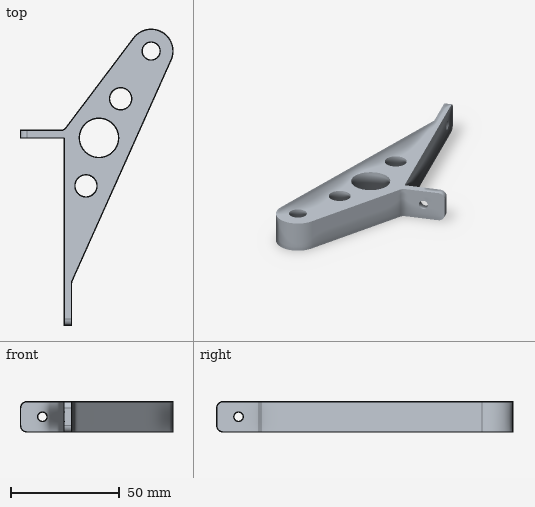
import cadquery as cq
import math

length = 136.0
width = 70.0
height = 14.0

flange_reach = 20.0
flange_top = 89.6
flange_thickness = 3.7
leg_thickness = 3.5
leg_straight_length = 20.0
tab_corner_radius = 3.0
root_fillet_radius = 2.5
tab_hole_diameter = 4.2
tab_hole_inset = 10.0

tip_radius = 10.0
tip_x = width - flange_reach - tip_radius
tip_y = length - tip_radius

arm_holes = [
    (tip_x, tip_y, 8.2),
    (26.0, 104.0, 10.0),
    (16.0, 86.1, 18.0),
    (10.0, 64.0, 10.0),
]


def tip_tangent(x, y, side):
    """Tangent point on the tip circle from (x, y); side is +1 for left, -1 for right."""
    dx = tip_x - x
    dy = tip_y - y
    distance = math.hypot(dx, dy)
    angle = math.atan2(-dy, -dx) - side * math.acos(tip_radius / distance)
    return tip_x + tip_radius * math.cos(angle), tip_y + tip_radius * math.sin(angle)


def bracket_body():
    """Full-height plan outline of the arm, leg and flange."""
    left_start = (0, flange_top)
    right_start = (leg_thickness, leg_straight_length)
    left_tangent = tip_tangent(*left_start, 1)
    right_tangent = tip_tangent(*right_start, -1)
    chord_angle = math.atan2(right_tangent[1] - left_tangent[1], right_tangent[0] - left_tangent[0])
    crown = (
        tip_x + tip_radius * math.cos(chord_angle + math.pi / 2),
        tip_y + tip_radius * math.sin(chord_angle + math.pi / 2),
    )
    flange_bottom = flange_top - flange_thickness
    return (
        cq.Workplane("XY")
        .moveTo(0, 0)
        .lineTo(leg_thickness, 0)
        .lineTo(*right_start)
        .lineTo(*right_tangent)
        .threePointArc(crown, left_tangent)
        .lineTo(*left_start)
        .lineTo(-flange_reach, flange_top)
        .lineTo(-flange_reach, flange_bottom)
        .lineTo(0, flange_bottom)
        .close()
        .extrude(height)
    )


def tab_hole(x, y, direction, depth):
    """Cutter for a mid-height hole through a tab, starting at (x, y)."""
    return cq.Workplane(
        cq.Solid.makeCylinder(
            tab_hole_diameter / 2, depth, cq.Vector(x, y, height / 2), cq.Vector(*direction)
        )
    )


body = bracket_body()

for x, y in [(leg_thickness, leg_straight_length), (0, flange_top)]:
    corner = cq.selectors.NearestToPointSelector((x, y, height / 2))
    body = body.edges("|Z").edges(corner).fillet(root_fillet_radius)

body = body.faces("<Y").edges("|X").fillet(tab_corner_radius)
body = body.faces("<X").edges("|Y").fillet(tab_corner_radius)

for x, y, diameter in arm_holes:
    body = body.cut(cq.Workplane("XY").center(x, y).circle(diameter / 2).extrude(height))

leg_hole = tab_hole(0, tab_hole_inset, (1, 0, 0), leg_thickness)
flange_hole = tab_hole(tab_hole_inset - flange_reach, flange_top, (0, -1, 0), flange_thickness)

result = body.cut(leg_hole).cut(flange_hole)